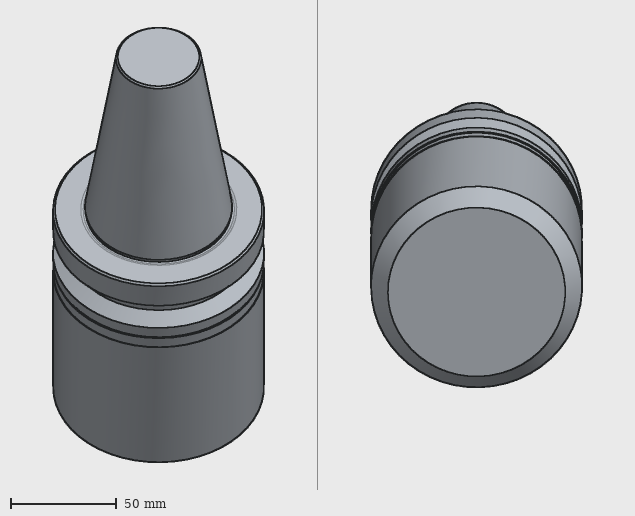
import cadquery as cq
import math

gauge_z = 130.0
taper_length = 101.8
face_gap = 1.5
flange_height = 36.5
groove_offset = 23.2
neck_height = 6.0
overall_height = gauge_z + taper_length
flange_top_z = gauge_z - face_gap
flange_bottom_z = flange_top_z - flange_height
groove_center_z = gauge_z - groove_offset
neck_bottom_z = flange_bottom_z - neck_height

gauge_diameter = 69.85
undercut_diameter = 69.25
flange_diameter = 100.0
groove_diameter = 85.0
neck_diameter = 99.5
body_diameter = 99.97

taper_ratio = 7.0 / 24.0
tip_diameter = gauge_diameter - taper_ratio * taper_length

recess_diameter = 73.9
recess_floor_diameter = 71.6
recess_wall_angle = math.radians(15.0)
recess_depth = (recess_diameter - recess_floor_diameter) / 2 * math.tan(recess_wall_angle)
recess_floor_z = flange_top_z - recess_depth

groove_floor_width = 6.4
groove_flank_angle = math.radians(30.0)

tip_chamfer = 0.8
flange_chamfer = 1.0
nose_chamfer = 8.0


def make_cylinder(diameter, bottom_z, top_z):
    """Solid cylinder on the Z axis between two heights."""
    return cq.Workplane("XY").workplane(offset=bottom_z).circle(diameter / 2).extrude(top_z - bottom_z)


def revolve_section(points):
    """Revolve a closed outline of (radius, height) points about the Z axis."""
    return cq.Workplane("XZ").polyline(points).close().revolve(360, (0, 0, 0), (0, 1, 0))


def make_body():
    """Plain lower body with a chamfered nose."""
    body = make_cylinder(body_diameter, 0, neck_bottom_z)
    return body.faces("<Z").edges().chamfer(nose_chamfer)


def make_groove_cutter():
    """Ring with a trapezoid section that cuts the gripper groove."""
    floor_radius = groove_diameter / 2
    rim_radius = flange_diameter / 2
    half_floor = groove_floor_width / 2
    half_mouth = half_floor + (rim_radius - floor_radius) * math.tan(groove_flank_angle)
    return revolve_section([
        (floor_radius, groove_center_z - half_floor),
        (rim_radius, groove_center_z - half_mouth),
        (rim_radius, groove_center_z + half_mouth),
        (floor_radius, groove_center_z + half_floor),
    ])


def make_recess_cutter():
    """Flat disc with a sloping wall that cuts the recess in the flange face."""
    return revolve_section([
        (0, recess_floor_z),
        (recess_floor_diameter / 2, recess_floor_z),
        (recess_diameter / 2, flange_top_z),
        (0, flange_top_z),
    ])


def make_flange():
    """Chamfered flange with the gripper groove and the recess in its face."""
    flange = make_cylinder(flange_diameter, flange_bottom_z, flange_top_z)
    flange = flange.faces("<Z or >Z").edges().chamfer(flange_chamfer)
    return flange.cut(make_groove_cutter()).cut(make_recess_cutter())


def make_taper():
    """Taper shank with a chamfered tip, bevelled at 45 degrees down to the undercut cylinder."""
    gauge_radius = gauge_diameter / 2
    undercut_radius = undercut_diameter / 2
    bevel_z = gauge_z - (gauge_radius - undercut_radius)
    tip_radius = tip_diameter / 2
    chamfer_radius = tip_radius + taper_ratio / 2 * tip_chamfer
    return revolve_section([
        (0, recess_floor_z),
        (undercut_radius, recess_floor_z),
        (undercut_radius, bevel_z),
        (gauge_radius, gauge_z),
        (chamfer_radius, overall_height - tip_chamfer),
        (tip_radius - tip_chamfer, overall_height),
        (0, overall_height),
    ])


neck = make_cylinder(neck_diameter, neck_bottom_z, flange_bottom_z)
result = make_body().union(neck).union(make_flange()).union(make_taper())